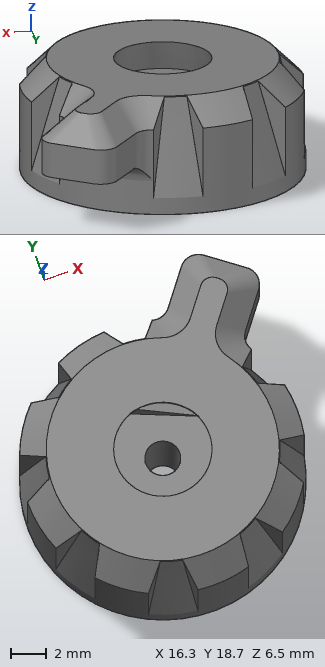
import cadquery as cq
import math

height = 6.5
body_diameter = 16.0
body_radius = body_diameter / 2
bevel = 1.5
bevel_start = height - bevel

pointer_heading = 55.0
pointer_underside = 2.99
pointer_end = 11.92
pointer_half_width = 2.25
pointer_corner = 1.0
pointer_root_fillet = 1.0
top_corner = 0.67
top_root_fillet = 1.65

notch_count = 8
notch_pitch = 42.5
notch_bottom = 0.97
notch_top = 6.44
notch_top_radius = 6.55
notch_outer_half_angle = 10.0
notch_inner_half_width = 0.65

recess_mouth_radius = 2.75
recess_floor_radius = 3.21
recess_depth = 1.74
recess_floor = height - recess_depth
flat_distance = 2.52
flat_heading = 70.0
ledge_high_drop = 0.73
ledge_low_drop = 1.66
ledge_half_length = 1.95
bore_diameter = 2.0


def outline(z, radius, half_width, end, corner, fillet):
    """Closed wire: a disc blended into a round-cornered pointer along +X."""
    fillet_y = half_width + fillet
    fillet_x = math.sqrt((radius + fillet) ** 2 - fillet_y ** 2)
    root_angle = math.atan2(fillet_y, fillet_x)
    root = (radius * math.cos(root_angle), radius * math.sin(root_angle))

    fillet_start_angle = root_angle - math.pi
    middle_angle = (fillet_start_angle - math.pi / 2) / 2
    fillet_middle = (
        fillet_x + fillet * math.cos(middle_angle),
        fillet_y + fillet * math.sin(middle_angle),
    )
    corner_offset = corner * math.sqrt(0.5)
    corner_middle = (end - corner + corner_offset, half_width - corner + corner_offset)

    def mirrored(point):
        return (point[0], -point[1])

    side_start = (fillet_x, half_width)
    side_end = (end - corner, half_width)
    tip = (end, half_width - corner)
    return (
        cq.Workplane("XY", origin=(0, 0, z))
        .moveTo(*root)
        .threePointArc(fillet_middle, side_start)
        .lineTo(*side_end)
        .threePointArc(corner_middle, tip)
        .lineTo(*mirrored(tip))
        .threePointArc(mirrored(corner_middle), mirrored(side_end))
        .lineTo(*mirrored(side_start))
        .threePointArc(mirrored(fillet_middle), mirrored(root))
        .threePointArc((-radius, 0), root)
        .close()
    )


def lower_outline(z):
    return outline(z, body_radius, pointer_half_width, pointer_end, pointer_corner, pointer_root_fillet)


def make_body():
    """Drum and pointer with the bevel, plus the fillet under the pointer."""
    drum = cq.Workplane("XY").circle(body_radius).extrude(bevel_start)
    slab = lower_outline(pointer_underside).extrude(bevel_start - pointer_underside)
    top_wire = outline(
        height,
        body_radius - bevel,
        pointer_half_width - bevel,
        pointer_end - bevel,
        top_corner,
        top_root_fillet,
    ).val()
    bevelled_top = cq.Solid.makeLoft([lower_outline(bevel_start).val(), top_wire], True)

    fillet = pointer_root_fillet
    fillet_bottom = pointer_underside - fillet
    fillet_outer = body_radius + fillet
    curve_offset = fillet * math.sqrt(0.5)
    fillet_ring = (
        cq.Workplane("XZ")
        .moveTo(0, fillet_bottom)
        .lineTo(body_radius, fillet_bottom)
        .threePointArc(
            (fillet_outer - curve_offset, fillet_bottom + curve_offset),
            (fillet_outer, pointer_underside),
        )
        .lineTo(0, pointer_underside)
        .close()
        .revolve(360, (0, 0, 0), (0, 1, 0))
    )
    under_fillet = fillet_ring.intersect(lower_outline(fillet_bottom).extrude(fillet))
    pointer = slab.union(under_fillet).cut(drum)
    return drum.union(pointer).union(bevelled_top)


def make_notch_cutter():
    """Wedge with upright sides that narrows inward, over a conical floor."""
    outer_angle = math.radians(notch_outer_half_angle)
    outer_x = body_radius * math.cos(outer_angle)
    outer_half_width = body_radius * math.sin(outer_angle)
    side_slope = (outer_half_width - notch_inner_half_width) / (outer_x - notch_top_radius)
    reach = 0.37
    inner_x = notch_top_radius - reach
    far_x = body_radius + reach
    inner_half = notch_inner_half_width - reach * side_slope
    far_half = outer_half_width + (far_x - outer_x) * side_slope
    wedge = (
        cq.Workplane("XY", origin=(0, 0, notch_bottom))
        .polyline([(inner_x, -inner_half), (far_x, -far_half), (far_x, far_half), (inner_x, inner_half)])
        .close()
        .extrude(height - notch_bottom)
    )
    floor_slope = (body_radius - notch_top_radius) / (notch_top - notch_bottom)
    core_top_radius = body_radius - floor_slope * (height - notch_bottom)
    core = cq.Solid.makeCone(
        body_radius, core_top_radius, height - notch_bottom, cq.Vector(0, 0, notch_bottom)
    )
    return wedge.cut(cq.Workplane(core))


def cut_notches(knob):
    """Evenly pitched notches, symmetric about the pointer, none on the pointer itself."""
    cutter = make_notch_cutter()
    first_angle = 180 - notch_pitch * (notch_count - 1) / 2
    for index in range(notch_count):
        angle = first_angle + index * notch_pitch
        knob = knob.cut(cutter.rotate((0, 0, 0), (0, 0, 1), angle))
    return knob


def make_recess():
    """Flared recess less the ledge left standing behind the flat."""
    flare = cq.Workplane(
        cq.Solid.makeCone(
            recess_floor_radius, recess_mouth_radius, recess_depth, cq.Vector(0, 0, recess_floor)
        )
    )
    ledge = (
        cq.Workplane("XZ", origin=(0, flat_distance, 0))
        .polyline([
            (-ledge_half_length, recess_floor),
            (ledge_half_length, recess_floor),
            (ledge_half_length, height - ledge_low_drop),
            (-ledge_half_length, height - ledge_high_drop),
        ])
        .close()
        .extrude(-recess_floor_radius)
        .rotate((0, 0, 0), (0, 0, 1), flat_heading - 90)
    )
    return flare.cut(ledge)


knob = cut_notches(make_body()).rotate((0, 0, 0), (0, 0, 1), pointer_heading)
bore = cq.Workplane("XY").circle(bore_diameter / 2).extrude(height)
result = knob.cut(make_recess()).cut(bore)